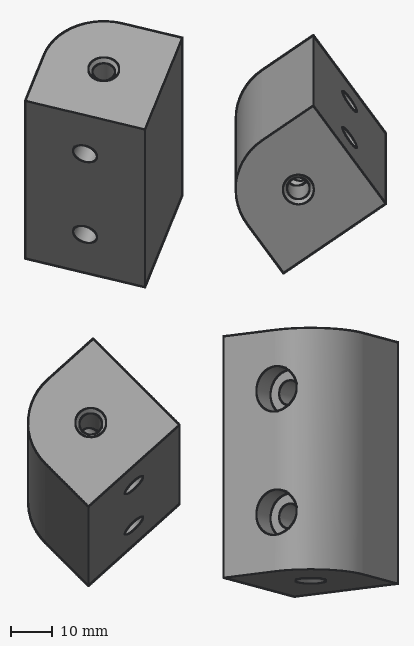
import cadquery as cq

height = 58.75
width = 30.0
corner_radius = width / 2

cross_hole_diameter = 6.0
cross_hole_spacing = 30.0
cross_hole_mid_height = 29.4
counterbore_diameter = 11.0
counterbore_depth = 6.0

long_hole_diameter = 5.4
long_hole_mouth_diameter = 7.4
long_hole_chamfer = (long_hole_mouth_diameter - long_hole_diameter) / 2


def make_block():
    """Square bar, centred on Z, with one rounded vertical edge at -X, +Y."""
    block = cq.Workplane("XY").rect(width, width).extrude(height)
    return block.edges("|Z and <X and >Y").fillet(corner_radius)


def make_cone(mouth_diameter, depth, mouth_center, direction):
    """Cone frustum with 45 degree sides, narrowing from its mouth along direction."""
    mouth_radius = mouth_diameter / 2
    return cq.Workplane(
        cq.Solid.makeCone(mouth_radius, mouth_radius - depth, depth, mouth_center, direction)
    )


def make_cross_hole(z):
    """Through hole along Y, counterbored from the +Y face."""
    back_face = cq.Workplane("XZ", origin=(0, width / 2, z))
    bore = back_face.circle(cross_hole_diameter / 2).extrude(width)
    counterbore = back_face.circle(counterbore_diameter / 2).extrude(counterbore_depth)
    return bore.union(counterbore)


def make_long_hole():
    """Through hole along Z, chamfered at the top and bottom."""
    bore = cq.Workplane("XY").circle(long_hole_diameter / 2).extrude(height)
    top = make_cone(
        long_hole_mouth_diameter, long_hole_chamfer, cq.Vector(0, 0, height), cq.Vector(0, 0, -1)
    )
    bottom = make_cone(
        long_hole_mouth_diameter, long_hole_chamfer, cq.Vector(0, 0, 0), cq.Vector(0, 0, 1)
    )
    return bore.union(top).union(bottom)


result = make_block().cut(make_long_hole())
for side in (-1, 1):
    result = result.cut(make_cross_hole(cross_hole_mid_height + side * cross_hole_spacing / 2))